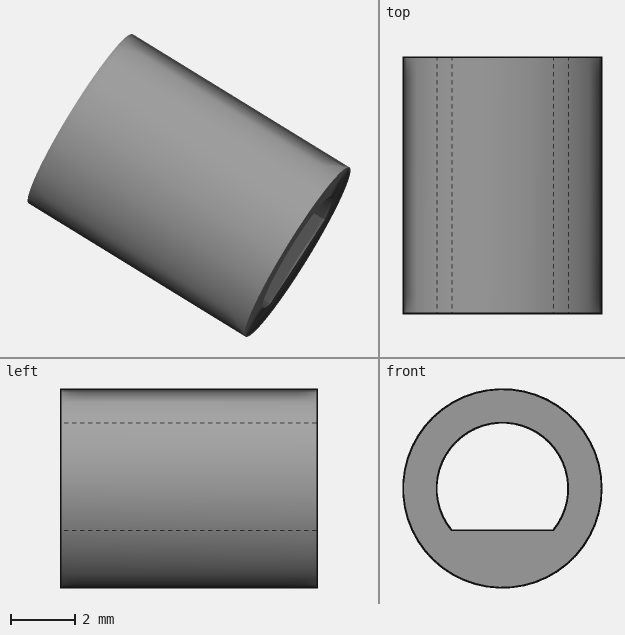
import cadquery as cq

length = 8.0
outer_diameter = 6.2
bore_diameter = 4.1
flat_offset = 1.3

bore_radius = bore_diameter / 2


def cylinder_along_y(diameter):
    """Solid cylinder on the Y axis, centred on the origin."""
    back_end = cq.Workplane("XZ", origin=(0, length / 2, 0))
    return back_end.circle(diameter / 2).extrude(length)


def d_bore():
    """Through bore of D-shaped section, with its flat facing up."""
    flat_depth = bore_radius - flat_offset
    below_flat = cq.Workplane("XY").box(bore_diameter, length, flat_depth)
    below_flat = below_flat.translate((0, 0, -flat_offset - flat_depth / 2))
    return cylinder_along_y(bore_diameter).cut(below_flat)


result = cylinder_along_y(outer_diameter).cut(d_bore())